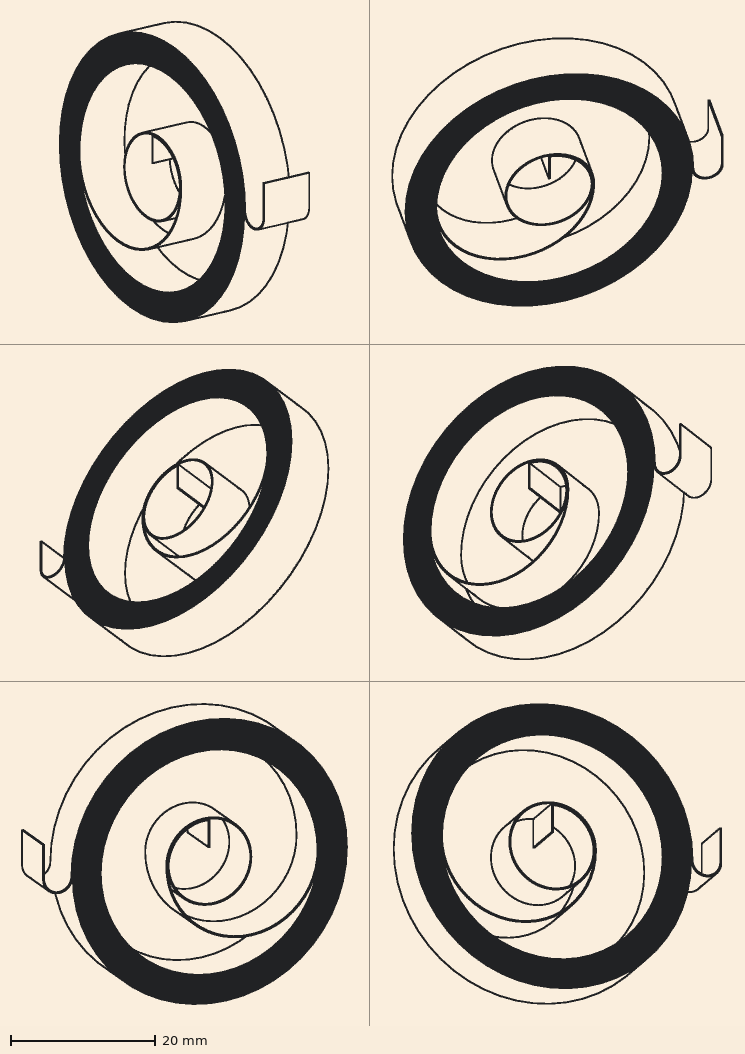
import cadquery as cq
import math

STRIP_WIDTH = 8.0
LAYER_PITCH = 0.2
LAYER_CLEARANCE = 0.002
HUB_RADIUS = 6.1
COIL_START_RADIUS = 16.2
COIL_TURNS = 22
HOOK_RADIUS = 2.1
TAB_END_Z = 2.1
HOOK_END_Z = 5.0

STRIP_THICKNESS = LAYER_PITCH - LAYER_CLEARANCE
HALF_THICKNESS = STRIP_THICKNESS / 2
OUTER_FACE = 1
INNER_FACE = -1


def hub_bends():
    """One and a quarter turns, the last quarter lying over the first."""
    half_step = LAYER_PITCH / 2
    return [
        (0, 0, HUB_RADIUS, 90, -180),
        (0, half_step, HUB_RADIUS + half_step, -90, -180),
        (0, 0, HUB_RADIUS + LAYER_PITCH, 90, -90),
    ]


def coil_bends():
    """Upper halves are centred on the origin; lower halves step out to the next turn."""
    bends = []
    right_end = HUB_RADIUS + LAYER_PITCH
    for turn in range(COIL_TURNS):
        turn_radius = COIL_START_RADIUS + turn * LAYER_PITCH
        lower_radius = (right_end + turn_radius) / 2
        lower_centre = right_end - lower_radius
        bends.append((lower_centre, 0, lower_radius, 0, -180))
        bends.append((0, 0, turn_radius, 180, -180))
        right_end = turn_radius
    return bends


def hook_bend():
    """U-turn at the right end of the last turn."""
    coil_end_radius = COIL_START_RADIUS + (COIL_TURNS - 1) * LAYER_PITCH
    return (coil_end_radius + HOOK_RADIUS, 0, HOOK_RADIUS, 180, 180)


def point_on_bend(bend, face, fraction):
    """XZ point on one face of a bend (centre x, centre z, mid radius, start angle, sweep).

    Angles are in degrees and a negative sweep is clockwise.
    """
    centre_x, centre_z, mid_radius, start, sweep = bend
    radius = mid_radius - face * math.copysign(HALF_THICKNESS, sweep)
    angle = math.radians(start + fraction * sweep)
    return centre_x + radius * math.cos(angle), centre_z + radius * math.sin(angle)


def strip_outline():
    """Closed outline of the strip: out along its outer face and back along its inner face."""
    bends = hub_bends() + coil_bends() + [hook_bend()]
    first_bend = bends[0]
    last_bend = bends[-1]

    hub_top = point_on_bend(first_bend, OUTER_FACE, 0)
    outline = cq.Workplane("XZ").moveTo(-HALF_THICKNESS, TAB_END_Z)
    outline = outline.lineTo(-HALF_THICKNESS, hub_top[1]).lineTo(*hub_top)
    for bend in bends:
        middle = point_on_bend(bend, OUTER_FACE, 0.5)
        outline = outline.threePointArc(middle, point_on_bend(bend, OUTER_FACE, 1))

    hook_left = point_on_bend(last_bend, OUTER_FACE, 1)
    hook_right = point_on_bend(last_bend, INNER_FACE, 1)
    outline = outline.lineTo(hook_left[0], HOOK_END_Z).lineTo(hook_right[0], HOOK_END_Z)
    outline = outline.lineTo(*hook_right)

    for bend in reversed(bends[1:]):
        middle = point_on_bend(bend, INNER_FACE, 0.5)
        outline = outline.threePointArc(middle, point_on_bend(bend, INNER_FACE, 0))
    tab_angle = math.degrees(math.asin(HALF_THICKNESS / (HUB_RADIUS - HALF_THICKNESS)))
    tab_fraction = tab_angle / abs(first_bend[-1])
    middle = point_on_bend(first_bend, INNER_FACE, (1 + tab_fraction) / 2)
    outline = outline.threePointArc(middle, point_on_bend(first_bend, INNER_FACE, tab_fraction))
    return outline.lineTo(HALF_THICKNESS, TAB_END_Z).close()


result = strip_outline().extrude(STRIP_WIDTH / 2, both=True)